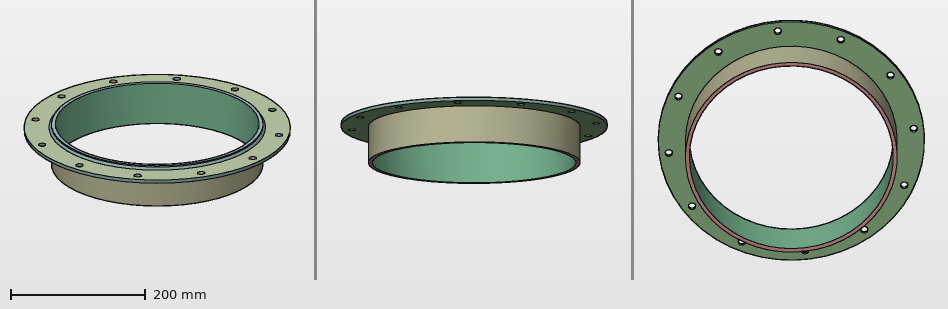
import cadquery as cq

tube_outer_diameter = 314.0
tube_inner_diameter = 302.0
tube_height = 65.0

flange_diameter = 395.0
flange_thickness = 5.0
rim_projection = 5.5
flange_top = tube_height - rim_projection
flange_bottom = flange_top - flange_thickness

weld_leg = 3.5

bolt_count = 12
bolt_hole_diameter = 10.5
bolt_circle_diameter = 365.5


def revolved_body():
    """Revolve the joined section of tube, flange and weld around Z."""
    inner_radius = tube_inner_diameter / 2
    outer_radius = tube_outer_diameter / 2
    flange_radius = flange_diameter / 2
    section = (
        cq.Workplane("XZ")
        .moveTo(inner_radius, 0)
        .lineTo(outer_radius, 0)
        .lineTo(outer_radius, flange_bottom)
        .lineTo(flange_radius, flange_bottom)
        .lineTo(flange_radius, flange_top)
        .lineTo(outer_radius + weld_leg, flange_top)
        .lineTo(outer_radius, flange_top + weld_leg)
        .lineTo(outer_radius, tube_height)
        .lineTo(inner_radius, tube_height)
        .close()
    )
    return section.revolve(360, (0, 0, 0), (0, 1, 0))


def bolt_holes():
    """Cylinders to cut, evenly spaced with the first one on +X."""
    return (
        cq.Workplane("XY", origin=(0, 0, flange_bottom))
        .polarArray(bolt_circle_diameter / 2, 0, 360, bolt_count)
        .circle(bolt_hole_diameter / 2)
        .extrude(flange_thickness)
    )


result = revolved_body().cut(bolt_holes())